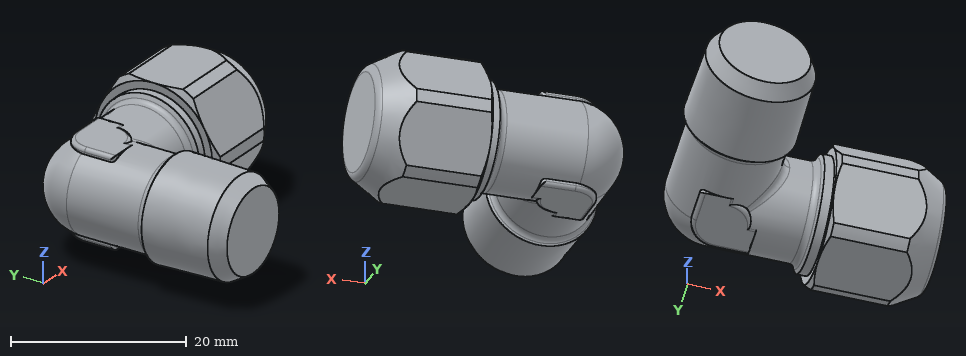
import cadquery as cq
import math

pipe_radius = 6.0
crease_fillet = 1.03

neck_start = 9.78
flare_radius = 0.95
flare_angle = math.radians(60)

stub_radius = 6.75
taper_end = 19.63
taper_end_radius = 6.52
stub_end = 21.53
stub_tip_radius = 5.4

nut_end = 32.28 - stub_radius
nut_start = 12.05
nut_flats = 16.0
nut_round_radius = 8.8
nut_chamfer_angle = math.radians(30)
front_cone_start = 21.5
nut_end_fillet = 1.15
collar_radius = 7.0

pad_height = pipe_radius
pad_thickness = 1.6
pad_round_center = 0.5
pad_round_radius = 3.45
pad_ear_end = 4.52
pad_ear_step = 1.05
pad_edge_fillet = 0.5


def flare_point(angle):
    """Axial distance and radius of the flare where it has turned by the given angle."""
    return (
        neck_start + flare_radius * math.sin(angle),
        pipe_radius + flare_radius * (1 - math.cos(angle)),
    )


def neck_outline(shoulder_radius):
    """Half outline from the origin, along the pipe and up the flare to a shoulder."""
    cone_start, cone_radius = flare_point(flare_angle)
    shoulder = cone_start + (shoulder_radius - cone_radius) / math.tan(flare_angle)
    return (
        cq.Workplane("XY")
        .lineTo(0, pipe_radius)
        .lineTo(neck_start, pipe_radius)
        .threePointArc(flare_point(flare_angle / 2), (cone_start, cone_radius))
        .lineTo(shoulder, shoulder_radius)
    )


def revolve_about_x(outline):
    return outline.close().revolve(360, (0, 0, 0), (1, 0, 0))


def make_elbow():
    pipe_x = cq.Workplane("YZ").circle(pipe_radius).extrude(neck_start)
    pipe_y = cq.Workplane("XZ").circle(pipe_radius).extrude(neck_start)
    pipes = pipe_x.union(pipe_y)
    crease = cq.selectors.BoxSelector(
        (0.03, -0.03, -pipe_radius), (pipe_radius + 0.32, -pipe_radius - 0.32, pipe_radius)
    )
    pipes = pipes.edges(crease).fillet(crease_fillet)
    return pipes.union(cq.Workplane("XY").sphere(pipe_radius))


def make_stub():
    outline = (
        neck_outline(stub_radius)
        .lineTo(taper_end, taper_end_radius)
        .lineTo(stub_end, stub_tip_radius)
        .lineTo(stub_end, 0)
    )
    return revolve_about_x(outline).rotate((0, 0, 0), (0, 0, 1), -90)


def make_collar():
    outline = (
        neck_outline(collar_radius)
        .lineTo(nut_start, collar_radius)
        .lineTo(nut_start, 0)
    )
    return revolve_about_x(outline)


def make_nut():
    corner_diameter = nut_flats / math.cos(math.pi / 6)
    hexagon = (
        cq.Workplane("YZ", origin=(nut_start, 0, 0))
        .polygon(6, corner_diameter)
        .extrude(nut_end - nut_start)
    )
    back_radius = nut_flats / 2
    back_cone_length = (nut_round_radius - back_radius) * math.tan(nut_chamfer_angle)
    end_radius = nut_round_radius - (nut_end - front_cone_start) * math.tan(nut_chamfer_angle)
    envelope = revolve_about_x(
        cq.Workplane("XY")
        .moveTo(nut_start, 0)
        .lineTo(nut_start, back_radius)
        .lineTo(nut_start + back_cone_length, nut_round_radius)
        .lineTo(front_cone_start, nut_round_radius)
        .lineTo(nut_end, end_radius)
        .lineTo(nut_end, 0)
    )
    envelope = envelope.faces(">X").edges().fillet(nut_end_fillet)
    return hexagon.intersect(envelope)


def make_pad():
    base = cq.Workplane("XY", origin=(0, 0, pad_height - pad_thickness))
    disc = base.center(pad_round_center, -pad_round_center).circle(pad_round_radius).extrude(pad_thickness)
    ear_top = pad_round_radius - pad_round_center
    ear_x = (
        base.moveTo(pad_round_center, -pad_ear_step)
        .lineTo(pad_ear_end, -pad_ear_step)
        .lineTo(pad_ear_end, ear_top)
        .lineTo(pad_round_center, ear_top)
        .close()
        .extrude(pad_thickness)
    )
    ear_y = ear_x.mirror("YZ").rotate((0, 0, 0), (0, 0, 1), 90)
    sharp_pad = disc.union(ear_x).union(ear_y)
    edged_pad = sharp_pad.faces(">Z").edges("not (>X or <Y)").fillet(pad_edge_fillet)
    rounded_plan = sharp_pad.edges("|Z").edges(">(1, 1, 0) or <(1, 1, 0)").fillet(pad_edge_fillet)
    return edged_pad.intersect(rounded_plan)


pad = make_pad()
result = (
    make_elbow()
    .union(make_stub())
    .union(make_collar())
    .union(make_nut())
    .union(pad)
    .union(pad.mirror("XY"))
)